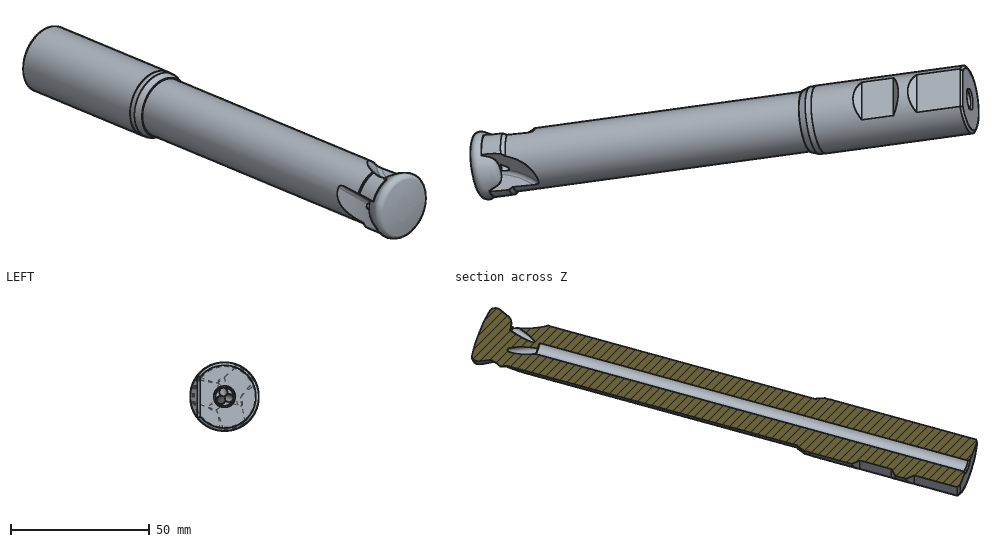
import cadquery as cq
import math

shank_radius = 12.5
shank_length = 56.3
collar_radius = 24.8 / 2
collar_end = 58.5
taper_end = 61.4
taper_end_radius = 11.4
end_chamfer_length = 0.7
end_chamfer_depth = 1.1

flat_height = 9.9
rear_flat_end = 17.2
front_flat_start = 26.0
front_flat_end = 37.9

neck_radius = 11.0
head_radius = 12.0
head_start = 172.5
head_full = 174.0
head_end = 181.3
total_length = 186.5

rim_radius = 12.5
rim_crest = 183.7
rim_rear = 176.5
rim_rear_radius = 6.7
rim_shoulder = 180.7
rim_shoulder_radius = 11.4
rim_nose = 186.0
rim_nose_radius = 10.3
shoulder_slope = 0.5
nose_advance = 0.1

flute_count = 3
flute_angle = 167.6
floor_height = 5.2
floor_radius = 28.0
floor_lowest = 179.4
wall_foot = 1.1
wall_lean = 29.0
wall_rake = 4.5
wall_pivot = 173.5
wall_fillet = 1.9

bore_diameter = 6.5
bore_mouth_diameter = 7.8
bore_depth = 164.1
outlet_diameter = 3.0
outlet_angle = 197.0
outlet_start = 163.2
outlet_start_radius = 1.3
outlet_exit = 173.0
outlet_exit_radius = 5.0

clearance = 15.0


def revolve_about_axis(outline):
    """Revolve a closed outline drawn in (X, radius) about the tool axis."""
    return outline.close().revolve(360, (0, 0, 0), (1, 0, 0))


def make_flat(start, end):
    """Cutter for one flat; a flat that starts at X = 0 is open at the end face."""
    run_out = clearance - flat_height
    top_start = start - run_out if start > 0 else start
    return (
        cq.Workplane("XY")
        .moveTo(start, flat_height)
        .lineTo(end, flat_height)
        .lineTo(end + run_out, clearance)
        .lineTo(top_start, clearance)
        .close()
        .extrude(clearance, both=True)
    )


def make_shank():
    shank = cq.Workplane("YZ").circle(shank_radius).extrude(shank_length)
    shank = shank.cut(make_flat(0, rear_flat_end))
    shank = shank.cut(make_flat(front_flat_start, front_flat_end))
    return shank.faces("<X").chamfer(end_chamfer_length, end_chamfer_depth)


def make_neck_and_head():
    return revolve_about_axis(
        cq.Workplane("XY")
        .moveTo(shank_length, 0)
        .lineTo(shank_length, collar_radius)
        .lineTo(collar_end, collar_radius)
        .lineTo(taper_end, taper_end_radius)
        .lineTo(taper_end, neck_radius)
        .lineTo(head_start, neck_radius)
        .lineTo(head_full, head_radius)
        .lineTo(head_end, head_radius)
        .lineTo(head_end, 0)
    )


def make_rim():
    """Rounded disc whose flank, crest and nearly flat front face are one smooth curve."""
    curve_points = [
        (rim_shoulder, rim_shoulder_radius),
        (rim_crest, rim_radius),
        (rim_nose, rim_nose_radius),
        (total_length, 0),
    ]
    outward = (0, 1)
    forward = (1, 0)
    inward = (0, -1)
    directions = [outward, (1, shoulder_slope), forward, (nose_advance, -1), inward]
    return revolve_about_axis(
        cq.Workplane("XY")
        .moveTo(rim_rear, 0)
        .lineTo(rim_rear, rim_rear_radius)
        .spline(curve_points, tangents=directions, includeCurrent=True)
    )


def make_flute():
    """Flute cutter: a hollow-ground floor facing +Y, bounded by a leaning wall on the -Z side."""
    floor_drum = (
        cq.Workplane("XY")
        .center(floor_lowest, floor_height + floor_radius)
        .circle(floor_radius)
        .extrude(clearance, both=True)
    )
    lean = math.tan(math.radians(wall_lean))
    wall_root = wall_foot + floor_height * lean
    wall_top = wall_foot - (clearance - floor_height) * lean
    wall_block = (
        cq.Workplane("YZ")
        .moveTo(0, clearance)
        .lineTo(0, wall_root)
        .lineTo(clearance, wall_top)
        .lineTo(clearance, clearance)
        .close()
        .extrude(total_length)
        .rotate((wall_pivot, 0, 0), (wall_pivot, 1, 0), -wall_rake)
    )
    cutter = floor_drum.intersect(wall_block)
    corner = cq.selectors.NearestToPointSelector((wall_pivot, floor_height, wall_foot))
    return cutter.edges(corner).fillet(wall_fillet)


def make_outlet():
    """Coolant hole that runs outward from the bore towards +Y."""
    run = outlet_exit - outlet_start
    rise = outlet_exit_radius - outlet_start_radius
    start = cq.Vector(outlet_start, outlet_start_radius, 0)
    length = math.hypot(run, rise) + outlet_diameter
    direction = cq.Vector(run, rise, 0)
    return cq.Workplane(cq.Solid.makeCylinder(outlet_diameter / 2, length, start, direction))


def make_bore():
    mouth_chamfer = (bore_mouth_diameter - bore_diameter) / 2
    bore = cq.Workplane("YZ").circle(bore_diameter / 2).extrude(bore_depth)
    mouth = cq.Solid.makeCone(
        bore_mouth_diameter / 2, bore_diameter / 2, mouth_chamfer, cq.Vector(0, 0, 0), cq.Vector(1, 0, 0)
    )
    return bore.union(cq.Workplane(mouth))


def spaced_around_axis(cutter, first_angle):
    """Return one copy of the cutter for each flute, evenly turned about the tool axis."""
    step = 360 / flute_count
    return [
        cutter.rotate((0, 0, 0), (1, 0, 0), first_angle + index * step)
        for index in range(flute_count)
    ]


body = make_shank().union(make_neck_and_head())
for flute in spaced_around_axis(make_flute(), flute_angle):
    body = body.cut(flute)
body = body.union(make_rim()).cut(make_bore())
for outlet in spaced_around_axis(make_outlet(), outlet_angle):
    body = body.cut(outlet)

result = body